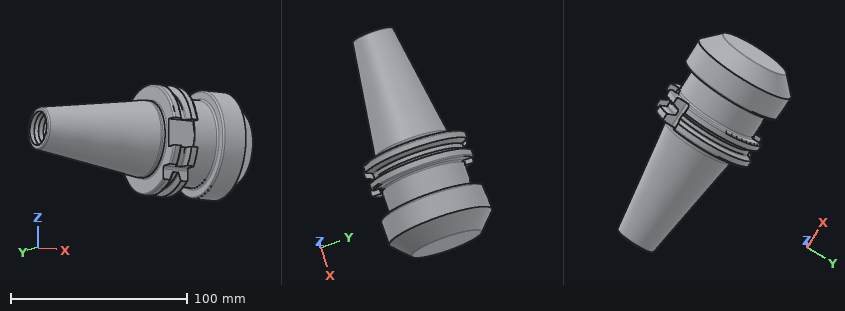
import cadquery as cq
import math


overall_length = 128.2
taper_end = 67.6
neck_start = 68.7
flange_start = 71.2
flange_end = 87.1
nut_start = 103.2
nose_start = 118.0

taper_ratio = 7 / 24
small_end_diameter = 24.5
small_end_radius = small_end_diameter / 2
taper_end_radius = small_end_radius + taper_end * taper_ratio / 2
neck_radius = 21.9
small_end_rounding = 0.9
neck_rounding = 0.8

flange_diameter = 63.5
flange_radius = flange_diameter / 2
groove_centre = 79.3
groove_half_width = 3.5
groove_depth = 3.7
groove_flank_angle = 25.0
groove_rounding = 0.6
edge_rounding = 1.0
rear_edge_rounding = 0.9

collar_radius = 25.0
nut_radius = 31.0
nose_radius = 21.3
nose_edge_rounding = 0.5

slot_width = 15.9
deep_slot_floor = 22.5
shallow_slot_floor = collar_radius
deep_slot_end = flange_end + 0.4
shallow_slot_end = flange_end + edge_rounding

notch_y = 18.5
notch_z = 18.2
notch_rounding = 1.5

side_hole_x = 104.3
side_hole_diameter = 15.9
side_hole_floor = 12.8

counterbore_radius = 9.6
counterbore_depth = 3.0
pilot_radius = 8.5
pilot_start = 5.0
pilot_end = 8.2
drill_radius = 6.9
drill_start = 9.2
drill_depth = 32.0
drill_point_angle = 118.0


def revolve_about_x(points):
    """Solid of revolution from (x, radius) points that start and end on the axis."""
    return cq.Workplane("XY").polyline(points).close().revolve(360, (0, 0, 0), (1, 0, 0))


def ring_edges(body, x, radius):
    """Circular edges around the X axis at station x."""
    tolerance = 0.06
    ring = cq.selectors.BoxSelector(
        (x - tolerance, -radius - tolerance, -radius - tolerance),
        (x + tolerance, radius + tolerance, radius + tolerance),
        boundingbox=True,
    )
    inner = cq.selectors.BoxSelector(
        (x - tolerance, -radius + tolerance, -radius + tolerance),
        (x + tolerance, radius - tolerance, radius - tolerance),
        boundingbox=True,
    )
    return body.edges(ring - inner)


def make_body():
    """Outer shape with all its rounded edges."""
    groove_floor_radius = flange_radius - groove_depth
    floor_half_width = groove_half_width - groove_depth * math.tan(math.radians(groove_flank_angle))
    body = revolve_about_x([
        (0, 0),
        (0, small_end_radius),
        (taper_end, taper_end_radius),
        (neck_start, neck_radius),
        (flange_start, neck_radius),
        (flange_start, flange_radius),
        (groove_centre - groove_half_width, flange_radius),
        (groove_centre - floor_half_width, groove_floor_radius),
        (groove_centre + floor_half_width, groove_floor_radius),
        (groove_centre + groove_half_width, flange_radius),
        (flange_end, flange_radius),
        (flange_end, collar_radius),
        (nut_start, collar_radius),
        (nut_start, nut_radius),
        (nose_start, nut_radius),
        (overall_length, nose_radius),
        (overall_length, 0),
    ])
    roundings = [
        (0, small_end_radius, small_end_rounding),
        (flange_start, neck_radius, neck_rounding),
        (flange_start, flange_radius, edge_rounding),
        (groove_centre - floor_half_width, groove_floor_radius, groove_rounding),
        (groove_centre + floor_half_width, groove_floor_radius, groove_rounding),
        (flange_end, flange_radius, rear_edge_rounding),
        (flange_end, collar_radius, edge_rounding),
        (nut_start, collar_radius, edge_rounding),
        (nut_start, nut_radius, edge_rounding),
        (overall_length, nose_radius, nose_edge_rounding),
    ]
    for x, radius, rounding in roundings:
        body = ring_edges(body, x, radius).fillet(rounding)
    return body


def make_bore():
    """Counterbore, conical lead-in, pilot and drilled hole with a conical bottom."""
    tip_length = drill_radius / math.tan(math.radians(drill_point_angle / 2))
    return revolve_about_x([
        (0, 0),
        (0, counterbore_radius),
        (counterbore_depth, counterbore_radius),
        (pilot_start, pilot_radius),
        (pilot_end, pilot_radius),
        (drill_start, drill_radius),
        (drill_depth, drill_radius),
        (drill_depth + tip_length, 0),
    ])


def make_drive_slot(floor, end, side):
    """Slot along X in the flange; side is +1 for +Y and -1 for -Y."""
    length = end - flange_start
    depth = flange_radius - floor
    return cq.Workplane("XY").box(length, depth, slot_width).translate(
        (flange_start + length / 2, side * (floor + depth / 2), 0)
    )


def make_notch():
    """Square corner cut on the -Y, -Z side, rounded along its inner corner."""
    length = flange_end - flange_start
    return (
        cq.Workplane("XY")
        .box(length, flange_radius, flange_radius, centered=False)
        .translate((flange_start, -notch_y - flange_radius, -notch_z - flange_radius))
        .edges("|X and >Y and >Z")
        .fillet(notch_rounding)
    )


def make_side_hole():
    """Flat-bottomed hole along Y, open on the +Y side."""
    return (
        cq.Workplane("XZ", origin=(side_hole_x, side_hole_floor, 0))
        .circle(side_hole_diameter / 2)
        .extrude(side_hole_floor - flange_radius)
    )


result = (
    make_body()
    .cut(make_bore())
    .cut(make_drive_slot(deep_slot_floor, deep_slot_end, 1))
    .cut(make_drive_slot(shallow_slot_floor, shallow_slot_end, -1))
    .cut(make_notch())
    .cut(make_side_hole())
)